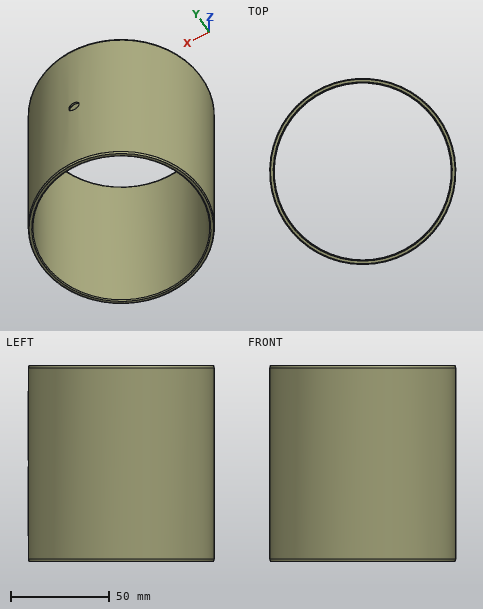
import cadquery as cq
import math

outer_diameter = 95.0
inner_diameter = 90.2
length = 100.0

outer_chamfer_height = 1.2
outer_chamfer_angle = 20.0
inner_chamfer = 0.6

recess_diameter = 6.0
recess_depth = 1.0

inner_radius = inner_diameter / 2
outer_radius = outer_diameter / 2
outer_chamfer_width = outer_chamfer_height * math.tan(math.radians(outer_chamfer_angle))


def sleeve():
    """Wall section on the -Y side, revolved a full turn about the Z axis."""
    rim_outer_radius = outer_radius - outer_chamfer_width
    rim_inner_radius = inner_radius + inner_chamfer
    section = (
        cq.Workplane("YZ")
        .moveTo(-rim_inner_radius, 0)
        .lineTo(-rim_outer_radius, 0)
        .lineTo(-outer_radius, outer_chamfer_height)
        .lineTo(-outer_radius, length - outer_chamfer_height)
        .lineTo(-rim_outer_radius, length)
        .lineTo(-rim_inner_radius, length)
        .lineTo(-inner_radius, length - inner_chamfer)
        .lineTo(-inner_radius, inner_chamfer)
        .close()
    )
    return section.revolve(360, (0, 0, 0), (0, 1, 0))


def recess_cutter():
    """Cylinder along Y from the recess floor out to the sleeve's +Y extreme."""
    floor_y = outer_radius - recess_depth
    return (
        cq.Workplane("XZ", origin=(0, floor_y, length / 2))
        .circle(recess_diameter / 2)
        .extrude(-recess_depth)
    )


result = sleeve().cut(recess_cutter())